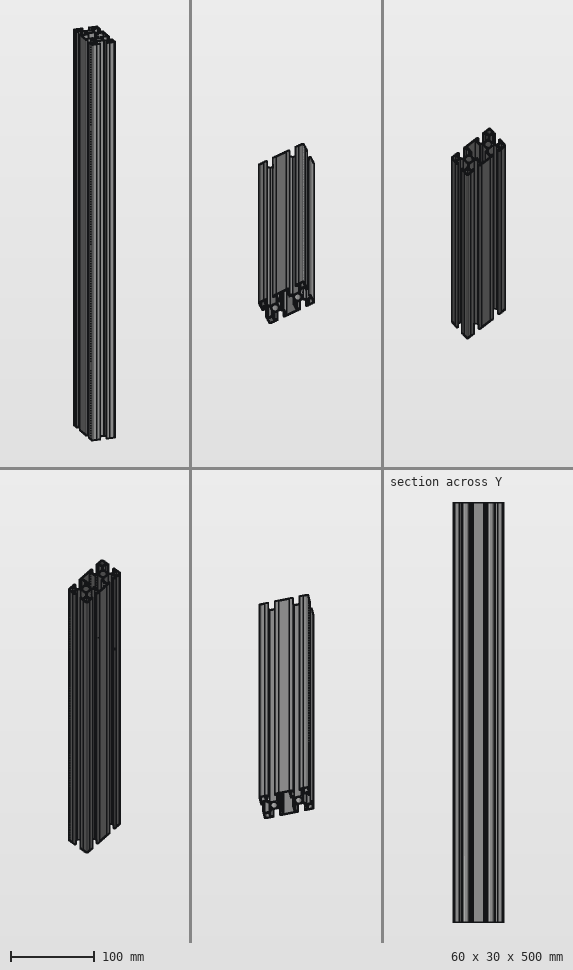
import cadquery as cq

width = 60.0
depth = 30.0
length = 500.0
half_width = width / 2
half_depth = depth / 2
corner_radius = 1.25

mouth_half = 4.0
undercut_half = 7.0
lip_thickness = 2.0
lip_radius = 0.5

core_x = width / 4
core_half = 5.0
bore_diameter = 8.5

outer_wall = 1.0
slot_wall = 1.5
hollow_radius = 1.0

strut_thickness = 1.5
strut_length = 4.0
strut_offset = (core_half + undercut_half) / 2


def bar(x_min, x_max, y_min, y_max):
    """Full-length rectangular bar between the given limits."""
    center_x = (x_min + x_max) / 2
    center_y = (y_min + y_max) / 2
    sketch = cq.Workplane("XY").center(center_x, center_y)
    return sketch.rect(x_max - x_min, y_max - y_min).extrude(length)


def centered_bar(x_half, y_half):
    """Full-length rectangular bar around the Z axis."""
    return bar(-x_half, x_half, -y_half, y_half)


def slot(face_distance):
    """T-slot opening toward +Y; the face lies face_distance away from the core centre."""
    mouth = bar(-mouth_half, mouth_half, core_half, face_distance)
    undercut = bar(-undercut_half, undercut_half, core_half, face_distance - lip_thickness)
    return mouth.union(undercut)


def mirrored(body):
    """The body together with its mirror images across both middle planes."""
    pair = body.union(body.mirror("YZ"))
    return pair.union(pair.mirror("XZ"))


def corner_hollow():
    """Square hollow in the +X +Y corner, rounded at its outermost edge."""
    inset = undercut_half + slot_wall
    hollow = bar(core_x + inset, half_width - outer_wall, inset, half_depth - outer_wall)
    return hollow.edges("|Z and >X and >Y").fillet(hollow_radius)


def center_hollow():
    """Large central hollow, widened between the two cores."""
    chamber = centered_bar(core_x - undercut_half - slot_wall, half_depth - outer_wall)
    return chamber.union(centered_bar(core_x - core_half, core_half))


def strut(side):
    """Diagonal strut above the +X core, on its outer (+1) or inner (-1) side."""
    sketch = cq.Workplane("XY").center(core_x + side * strut_offset, strut_offset)
    turned = sketch.transformed(rotate=(0, 0, side * 45))
    return turned.rect(strut_length, strut_thickness).extrude(length)


def lip_edge_points():
    """Points (x, y) of the outer lip edges of all slots."""
    points = []
    for x_sign in (1, -1):
        for y_sign in (1, -1):
            points.append((x_sign * half_width, y_sign * mouth_half))
            points.append((x_sign * (core_x - mouth_half), y_sign * half_depth))
            points.append((x_sign * (core_x + mouth_half), y_sign * half_depth))
    return points


body = centered_bar(half_width, half_depth).edges("|Z").fillet(corner_radius)

broad_slot = slot(half_depth).translate((core_x, 0, 0))
end_slot = slot(half_width - core_x).rotate((0, 0, 0), (0, 0, 1), -90).translate((core_x, 0, 0))
body = body.cut(mirrored(broad_slot)).cut(mirrored(end_slot))

for x, y in lip_edge_points():
    nearest_edge = cq.selectors.NearestToPointSelector((x, y, length / 2))
    body = body.edges(nearest_edge).fillet(lip_radius)

body = body.cut(center_hollow()).cut(mirrored(corner_hollow()))
for side in (1, -1):
    body = body.union(mirrored(strut(side)))

bore_centers = [(-core_x, 0), (core_x, 0)]
bores = cq.Workplane("XY").pushPoints(bore_centers).circle(bore_diameter / 2).extrude(length)
result = body.cut(bores)